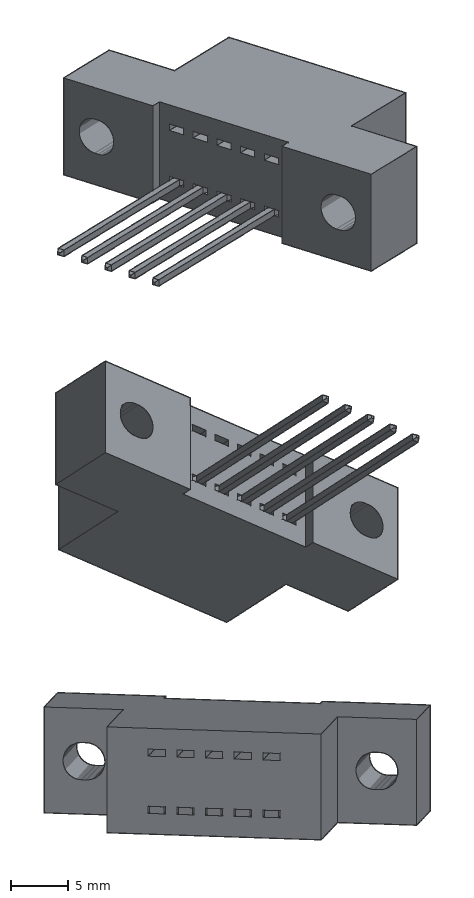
import cadquery as cq

flange_length = 33.02
flange_depth = 6.85
card_block_length = 19.0
card_block_depth = 8.15
housing_height = 9.4
housing_depth = flange_depth + card_block_depth

recess_length = 13.85
recess_depth = 1.0

hole_length = 3.7
hole_height = 3.3
hole_end_distance = 3.53
hole_center_x = flange_length / 2 - hole_end_distance

contact_count = 5
contact_pitch = 2.55
slot_width = 1.52
slot_height = 0.63
row_offset = contact_pitch
contact_positions = [(i - (contact_count - 1) / 2) * contact_pitch for i in range(contact_count)]

pin_width = slot_height
pin_reach = 16.65
blade_width = 1.25
shoulder_start = recess_depth
shoulder_length = 0.7
tip_length = 0.33
tip_width = 0.25


def make_block():
    """Flange and card block, with the front recess cut away."""
    flange = cq.Workplane("XY").box(
        flange_length, flange_depth, housing_height, centered=(True, False, True)
    )
    card_block = cq.Workplane("XY").box(
        card_block_length, housing_depth, housing_height, centered=(True, False, True)
    )
    recess = cq.Workplane("XY").box(
        recess_length, recess_depth, housing_height, centered=(True, False, True)
    )
    return flange.union(card_block).cut(recess)


def make_mounting_holes():
    """Cutters for the oblong holes through the flange."""
    return (
        cq.Workplane("XZ")
        .pushPoints([(-hole_center_x, 0), (hole_center_x, 0)])
        .slot2D(hole_length, hole_height)
        .extrude(-flange_depth)
    )


def make_contact_slots():
    """Cutters for both rows of slots through the whole depth."""
    slot_centers = [(x, z) for x in contact_positions for z in (-row_offset, row_offset)]
    return (
        cq.Workplane("XZ")
        .pushPoints(slot_centers)
        .rect(slot_width, slot_height)
        .extrude(-housing_depth)
    )


def make_housing():
    return make_block().cut(make_mounting_holes()).cut(make_contact_slots())


def make_contact(x):
    """One contact, filling the height of its slot and ending flush with the back."""
    tip_base_y = tip_length - pin_reach
    half_pin = pin_width / 2
    half_blade = blade_width / 2
    shoulder_end = shoulder_start + shoulder_length
    shank = (
        cq.Workplane("XY")
        .polyline([
            (-half_pin, tip_base_y),
            (half_pin, tip_base_y),
            (half_pin, shoulder_start),
            (half_blade, shoulder_end),
            (half_blade, housing_depth),
            (-half_blade, housing_depth),
            (-half_blade, shoulder_end),
            (-half_pin, shoulder_start),
        ])
        .close()
        .extrude(half_pin, both=True)
    )
    tip = (
        cq.Workplane("XZ", origin=(0, tip_base_y, 0))
        .rect(pin_width, pin_width)
        .workplane(offset=tip_length)
        .rect(tip_width, tip_width)
        .loft(ruled=True)
    )
    return shank.union(tip).translate((x, 0, -row_offset))


housing = make_housing()
contacts = [make_contact(x) for x in contact_positions]

result = cq.Compound.makeCompound([housing.val(), *[contact.val() for contact in contacts]])